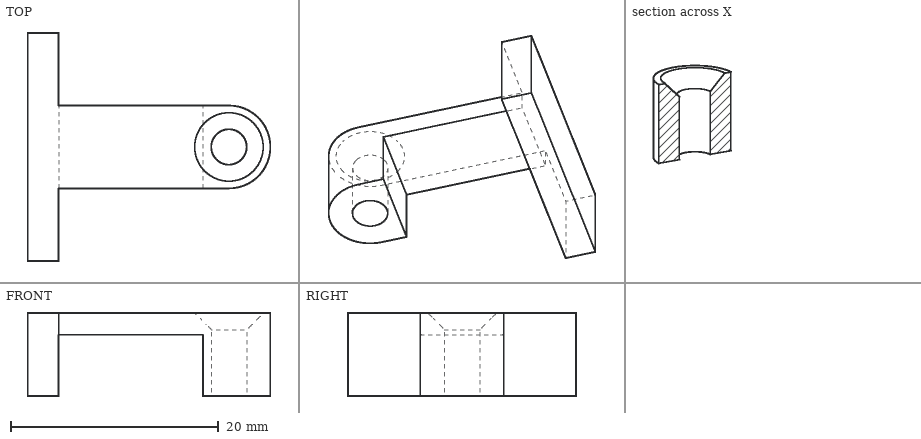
import cadquery as cq

length = 23.4
plate_width = 22.0
height = 8.0

plate_thickness = 3.0
arm_width = height
arm_thickness = 2.1
foot_start = 16.9
end_radius = arm_width / 2
hole_x = length - end_radius

hole_diameter = 3.4
countersink_diameter = 6.6
countersink_angle = 90.0


def make_plate():
    """Wide upright plate at the X = 0 end."""
    return cq.Workplane("XY").box(plate_thickness, plate_width, height, centered=(False, True, False))


def make_arm():
    """Full-height arm with a semicircular end."""
    return (
        cq.Workplane("XY")
        .moveTo(0, -end_radius)
        .lineTo(hole_x, -end_radius)
        .threePointArc((length, 0), (hole_x, end_radius))
        .lineTo(0, end_radius)
        .close()
        .extrude(height)
    )


def make_gap():
    """Space below the arm, between the plate and the foot."""
    return (
        cq.Workplane("XY")
        .box(foot_start - plate_thickness, arm_width, height - arm_thickness, centered=(False, True, False))
        .translate((plate_thickness, 0, 0))
    )


body = make_plate().union(make_arm()).cut(make_gap())

result = (
    body.faces(">Z")
    .workplane(origin=(hole_x, 0, height))
    .cskHole(hole_diameter, countersink_diameter, countersink_angle)
)